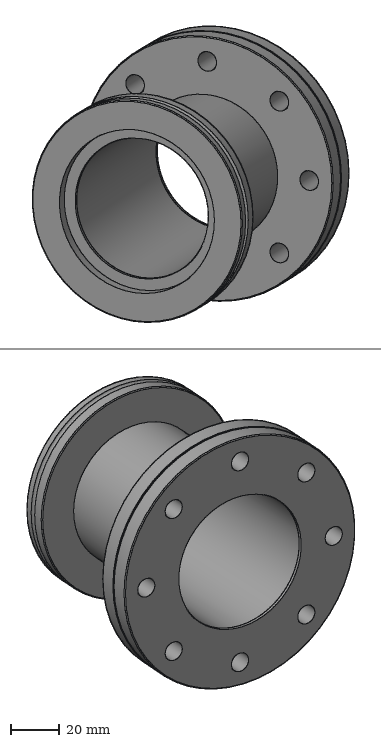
import cadquery as cq

overall_length = 90.0

tube_outer_diameter = 63.7
tube_inner_diameter = 60.0

bolted_flange_diameter = 113.5
bolted_flange_thickness = 17.3
bolt_circle_diameter = 92.2
bolt_hole_diameter = 8.4
bolt_hole_count = 8
rim_line_width = 0.8
rim_line_depth = 0.1

clamp_flange_diameter = 95.0
clamp_flange_thickness = 11.9
clamp_groove_radius = 1.4
clamp_groove_position = 5.1
recess_diameter = 70.0
recess_depth = 5.0

edge_chamfer = 0.5
lip_bore_diameter = 60.2
lip_length = 1.5

bolted_flange_start = overall_length - bolted_flange_thickness
tube_start = recess_depth + lip_length
tube_end = overall_length - lip_length


def disc(diameter, start, end):
    """Solid cylinder about the Y axis, from Y = start to Y = end."""
    return cq.Workplane("XZ", origin=(0, start, 0)).circle(diameter / 2).extrude(start - end)


def make_tube():
    outside = disc(tube_outer_diameter, tube_start, tube_end)
    return outside.cut(disc(tube_inner_diameter, tube_start, tube_end))


def make_bolted_flange():
    flange = disc(bolted_flange_diameter, bolted_flange_start, overall_length)
    flange = flange.edges().chamfer(edge_chamfer)

    flange = flange.cut(disc(tube_outer_diameter, bolted_flange_start, tube_end))
    flange = flange.cut(disc(lip_bore_diameter, tube_end, overall_length))

    rim_middle = bolted_flange_start + bolted_flange_thickness / 2
    line_start = rim_middle - rim_line_width / 2
    line_end = rim_middle + rim_line_width / 2
    rim_line = disc(bolted_flange_diameter, line_start, line_end)
    rim_line = rim_line.cut(disc(bolted_flange_diameter - 2 * rim_line_depth, line_start, line_end))
    flange = flange.cut(rim_line)

    bolt_holes = (
        cq.Workplane("XZ", origin=(0, bolted_flange_start, 0))
        .polarArray(bolt_circle_diameter / 2, 0, 360, bolt_hole_count)
        .circle(bolt_hole_diameter / 2)
        .extrude(-bolted_flange_thickness)
    )
    return flange.cut(bolt_holes)


def make_clamp_flange():
    flange = disc(clamp_flange_diameter, 0, clamp_flange_thickness)
    flange = flange.edges().chamfer(edge_chamfer)

    flange = flange.cut(disc(recess_diameter, 0, recess_depth))
    flange = flange.cut(disc(lip_bore_diameter, recess_depth, tube_start))
    flange = flange.cut(disc(tube_outer_diameter, tube_start, clamp_flange_thickness))

    clamp_groove = (
        cq.Workplane("XY")
        .center(clamp_flange_diameter / 2, clamp_groove_position)
        .circle(clamp_groove_radius)
        .revolve(360, (-clamp_flange_diameter / 2, 0), (-clamp_flange_diameter / 2, 1))
    )
    return flange.cut(clamp_groove)


tube = make_tube()
bolted_flange = make_bolted_flange()
clamp_flange = make_clamp_flange()

result = cq.Compound.makeCompound([tube.val(), bolted_flange.val(), clamp_flange.val()])